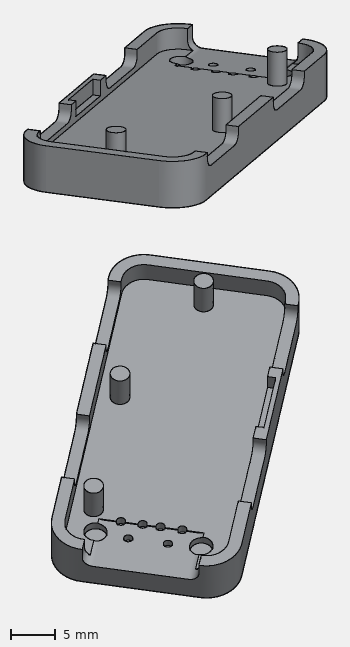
import cadquery as cq

width = 21.5
length = 44.0
rim_height = 5.5
corner_radius = 4.0
wall = 1.5
floor_top = 3.0

notch_length = 9.4
notch_depth = 1.85
notch_radius = 1.2
notch_centers_y = (7.2, -12.8)

opening_width = 13.2
opening_reach = 6.9
opening_sink = 0.15

round_pocket_diameter = 2.6
round_pocket_depth = 1.0
round_pocket_x = 6.0
round_pocket_y = 17.05

pin_hole_diameter = 1.0
pin_hole_depth = round_pocket_depth
pin_hole_front_y = 15.0
pin_hole_rear_y = 17.25
pin_hole_inner_x = 1.0
pin_hole_outer_x = 3.48
pin_hole_rear_x = 2.25

relief_length = 7.45
relief_depth = 0.92
relief_center_y = -2.95
relief_floor = rim_height - notch_depth

post_diameter = 2.2
post_top = 7.0
side_post_x = 6.78
post_points = [(side_post_x, 13.8), (side_post_x, relief_center_y), (0, -18.0)]

inner_width = width - 2 * wall
inner_length = length - 2 * wall
inner_radius = corner_radius - wall


def rounded_block(size_x, size_y, radius, bottom, top):
    """Upright block with rounded vertical edges."""
    block = cq.Workplane("XY").workplane(offset=bottom).rect(size_x, size_y).extrude(top - bottom)
    return block.edges("|Z").fillet(radius)


def notch_cutter(span, bottom, run):
    """Channel along Y, open at the top, with rounded lower edges."""
    height = post_top - bottom
    cutter = cq.Workplane("XY").box(span, run, height, centered=(True, True, False))
    return cutter.edges("|Y and <Z").fillet(notch_radius).translate((0, 0, bottom))


def tray():
    body = rounded_block(width, length, corner_radius, 0, rim_height)
    cavity = rounded_block(inner_width, inner_length, inner_radius, floor_top, post_top)
    return body.cut(cavity)


def cut_side_notches(body):
    cutter = notch_cutter(notch_length, rim_height - notch_depth, width)
    cutter = cutter.rotate((0, 0, 0), (0, 0, 1), 90)
    for center_y in notch_centers_y:
        body = body.cut(cutter.translate((0, center_y, 0)))
    return body


def cut_end_opening(body):
    cutter = notch_cutter(opening_width, floor_top - opening_sink, opening_reach)
    return body.cut(cutter.translate((0, (length - opening_reach) / 2, 0)))


def cut_round_pockets(body):
    points = [(-round_pocket_x, round_pocket_y), (round_pocket_x, round_pocket_y)]
    bottom = cq.Workplane("XY").workplane(offset=floor_top - round_pocket_depth)
    return body.cut(bottom.pushPoints(points).circle(round_pocket_diameter / 2).extrude(round_pocket_depth))


def cut_pin_holes(body):
    points = []
    for side in (-1, 1):
        points.append((side * pin_hole_inner_x, pin_hole_front_y))
        points.append((side * pin_hole_outer_x, pin_hole_front_y))
        points.append((side * pin_hole_rear_x, pin_hole_rear_y))
    bottom = cq.Workplane("XY").workplane(offset=floor_top - pin_hole_depth)
    return body.cut(bottom.pushPoints(points).circle(pin_hole_diameter / 2).extrude(pin_hole_depth))


def cut_wall_relief(body):
    relief = cq.Workplane("XY").box(
        relief_depth, relief_length, rim_height - relief_floor, centered=(False, True, False)
    )
    return body.cut(relief.translate((-inner_width / 2 - relief_depth, relief_center_y, relief_floor)))


def add_posts(body):
    root = cq.Workplane("XY").workplane(offset=floor_top / 2)
    posts = root.pushPoints(post_points).circle(post_diameter / 2).extrude(post_top - floor_top / 2)
    return body.union(posts)


result = tray()
result = cut_side_notches(result)
result = cut_end_opening(result)
result = cut_round_pockets(result)
result = cut_pin_holes(result)
result = cut_wall_relief(result)
result = add_posts(result)